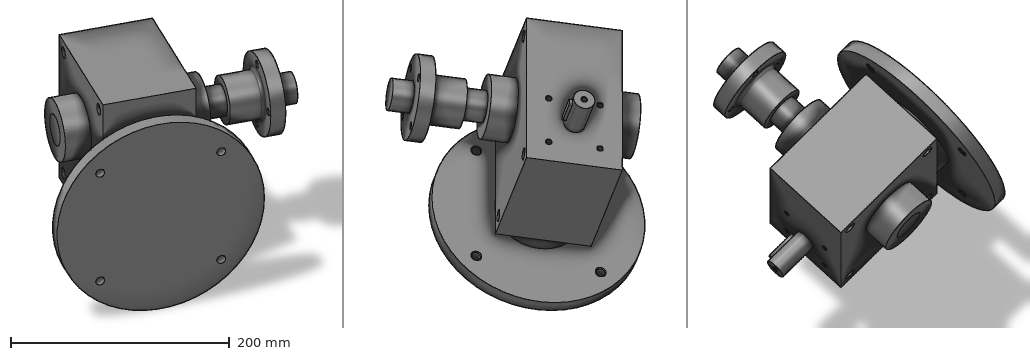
import cadquery as cq
import math


BLOCK_X = 126.5
BLOCK_Y = 90.0
BLOCK_Z = 155.0
WORM_BELOW_TOP = 110.0
SCREW_BELOW_TOP = 60.0
BLOCK_TOP = WORM_BELOW_TOP
BLOCK_BOTTOM = BLOCK_TOP - BLOCK_Z
BLOCK_MIDDLE = (BLOCK_TOP + BLOCK_BOTTOM) / 2
SCREW_AXIS_Z = BLOCK_TOP - SCREW_BELOW_TOP
FOOT_HOLE_DIAMETER = 11.0
FOOT_HOLE_EDGE_DISTANCE = 12.2
BOSS_DIAMETER = 60.0
BOSS_LENGTH = 25.0

TAPPED_HOLE_DIAMETER = 5.0
TAPPED_HOLE_DEPTH = 15.0
TAPPED_HOLE_CHAMFER = 0.5
TAPPED_HOLE_SPACING = 48.2
DRILL_POINT_ANGLE = 118

NECK_DIAMETER = 80.0
NECK_LENGTH = 19.5
NECK_DRAFT_ANGLE = 3
FLANGE_DIAMETER = 200.0
FLANGE_THICKNESS = 13.2
FLANGE_HOLE_DIAMETER = 8.3
FLANGE_HOLE_CHAMFER = 0.9
FLANGE_BOLT_CIRCLE = 165.0

SHAFT_DIAMETER = 20.0
SHAFT_LENGTH = 40.0
KEY_LENGTH = 30.0
KEY_WIDTH = 6.0
KEY_HEIGHT = 6.0
KEY_PROTRUSION = 2.5
KEY_END_GAP = 5.0

SCREW_DIAMETER = 30.0
OVERALL_LENGTH_Y = 259.0

NUT_END_GAP = 20.0
NUT_FLANGE_DIAMETER = 80.0
NUT_FLANGE_THICKNESS = 14.5
NUT_BARREL_DIAMETER = 46.0
NUT_BARREL_LENGTH = 33.5
NUT_FILLET_RADIUS = 3.0
NUT_HOLE_DIAMETER = 7.0
NUT_BOLT_CIRCLE = 64.0
NUT_HOLES = 4

BLOCK_LEFT = -BLOCK_X / 2
BLOCK_RIGHT = BLOCK_X / 2
SHAFT_END = BLOCK_LEFT - SHAFT_LENGTH
BOSS_FRONT = -BLOCK_Y / 2 - BOSS_LENGTH
SCREW_BACK = OVERALL_LENGTH_Y - FLANGE_DIAMETER / 2
NUT_BACK = SCREW_BACK - NUT_END_GAP
NUT_FLANGE_FRONT = NUT_BACK - NUT_FLANGE_THICKNESS


def cylinder_x(diameter, start, length):
    """Cylinder on the worm axis that begins at X = start."""
    return cq.Workplane("YZ", origin=(start, 0, 0)).circle(diameter / 2).extrude(length)


def cylinder_y(diameter, start, length, x=0, z=SCREW_AXIS_Z):
    """Cylinder along +Y that begins at Y = start."""
    return cq.Workplane("XZ", origin=(x, start, z)).circle(diameter / 2).extrude(-length)


def chamfered_hole(mouth_x, y, z, profile):
    """Cutter along +X, turned from an (X, radius) profile that starts at the hole's mouth."""
    cutter = cq.Workplane("XY").polyline(profile).close().revolve(360, (0, 0), (1, 0))
    return cutter.translate((mouth_x, y, z))


def tapped_hole(mouth_x, y=0, z=0):
    """Cutter for a blind hole along +X with a chamfered mouth and a conical drill point."""
    radius = TAPPED_HOLE_DIAMETER / 2
    point_length = radius / math.tan(math.radians(DRILL_POINT_ANGLE / 2))
    profile = [
        (0, 0),
        (0, radius + TAPPED_HOLE_CHAMFER),
        (TAPPED_HOLE_CHAMFER, radius),
        (TAPPED_HOLE_DEPTH, radius),
        (TAPPED_HOLE_DEPTH + point_length, 0),
    ]
    return chamfered_hole(mouth_x, y, z, profile)


def flange_hole(mouth_x, y, z):
    """Cutter for a through hole in the motor flange with a chamfered mouth."""
    radius = FLANGE_HOLE_DIAMETER / 2
    profile = [
        (0, 0),
        (0, radius + FLANGE_HOLE_CHAMFER),
        (FLANGE_HOLE_CHAMFER, radius),
        (FLANGE_THICKNESS, radius),
        (FLANGE_THICKNESS, 0),
    ]
    return chamfered_hole(mouth_x, y, z, profile)


def make_motor_flange():
    """Tapered neck and round flange on the +X side of the block."""
    neck_end = BLOCK_RIGHT + NECK_LENGTH
    neck_circle = cq.Workplane("YZ", origin=(BLOCK_RIGHT, 0, 0)).circle(NECK_DIAMETER / 2)
    neck = neck_circle.extrude(NECK_LENGTH, taper=-NECK_DRAFT_ANGLE)
    flange = cylinder_x(FLANGE_DIAMETER, neck_end, FLANGE_THICKNESS)
    hole_offset = FLANGE_BOLT_CIRCLE / 2 / math.sqrt(2)
    for y in (-hole_offset, hole_offset):
        for z in (-hole_offset, hole_offset):
            flange = flange.cut(flange_hole(neck_end, y, z))
    return neck.union(flange)


def make_housing(screw):
    """Block with screw bosses, foot holes, tapped holes and motor flange."""
    housing = cq.Workplane("XY").box(BLOCK_X, BLOCK_Y, BLOCK_Z)
    housing = housing.translate((0, 0, BLOCK_MIDDLE))

    housing = housing.union(cylinder_y(BOSS_DIAMETER, BOSS_FRONT, BLOCK_Y + 2 * BOSS_LENGTH))
    housing = housing.union(make_motor_flange())

    for x in (BLOCK_LEFT + FOOT_HOLE_EDGE_DISTANCE, BLOCK_RIGHT - FOOT_HOLE_EDGE_DISTANCE):
        for z in (BLOCK_BOTTOM + FOOT_HOLE_EDGE_DISTANCE, BLOCK_TOP - FOOT_HOLE_EDGE_DISTANCE):
            housing = housing.cut(cylinder_y(FOOT_HOLE_DIAMETER, -BLOCK_Y / 2, BLOCK_Y, x, z))

    for y in (-TAPPED_HOLE_SPACING / 2, TAPPED_HOLE_SPACING / 2):
        for z in (-TAPPED_HOLE_SPACING / 2, TAPPED_HOLE_SPACING / 2):
            housing = housing.cut(tapped_hole(BLOCK_LEFT, y, z))

    return housing.cut(screw)


def make_key():
    """Round-ended key on the +Y side of the worm shaft."""
    key_bottom = SHAFT_DIAMETER / 2 + KEY_PROTRUSION - KEY_HEIGHT
    key_centre_x = SHAFT_END + KEY_END_GAP + KEY_LENGTH / 2
    key_plane = cq.Workplane("XZ", origin=(key_centre_x, key_bottom, 0))
    return key_plane.slot2D(KEY_LENGTH, KEY_WIDTH).extrude(-KEY_HEIGHT)


def make_shaft(key):
    """Worm shaft end with a keyway and a centre hole."""
    shaft = cylinder_x(SHAFT_DIAMETER, SHAFT_END, SHAFT_LENGTH)
    shaft = shaft.cut(tapped_hole(SHAFT_END))
    return shaft.cut(key)


def make_nut(screw):
    """Flanged travelling nut around the screw."""
    nut = cylinder_y(NUT_FLANGE_DIAMETER, NUT_FLANGE_FRONT, NUT_FLANGE_THICKNESS)
    barrel_front = NUT_FLANGE_FRONT - NUT_BARREL_LENGTH
    nut = nut.union(cylinder_y(NUT_BARREL_DIAMETER, barrel_front, NUT_BARREL_LENGTH))

    barrel_edges = nut.edges(cq.selectors.RadiusNthSelector(0))
    nut = barrel_edges.edges(">Y").fillet(NUT_FILLET_RADIUS)

    for index in range(NUT_HOLES):
        angle = 2 * math.pi * index / NUT_HOLES
        x = NUT_BOLT_CIRCLE / 2 * math.cos(angle)
        z = SCREW_AXIS_Z + NUT_BOLT_CIRCLE / 2 * math.sin(angle)
        nut = nut.cut(cylinder_y(NUT_HOLE_DIAMETER, NUT_FLANGE_FRONT, NUT_FLANGE_THICKNESS, x, z))
    return nut.cut(screw)


screw = cylinder_y(SCREW_DIAMETER, BOSS_FRONT, SCREW_BACK - BOSS_FRONT)
key = make_key()
shaft = make_shaft(key)
housing = make_housing(screw)
nut = make_nut(screw)

result = cq.Compound.makeCompound([housing.val(), shaft.val(), key.val(), screw.val(), nut.val()])